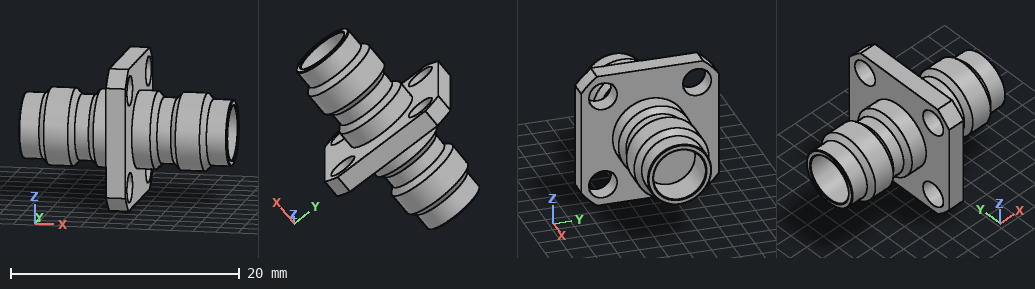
import cadquery as cq

length = 18.5
flange_side = 12.7

flange_start = 8.42
flange_thickness = 1.74
flange_corner_radius = 8.01
mount_hole_diameter = 2.59
mount_hole_spacing = 8.65

neck_radius = 2.92
barrel_radius = 3.45
barrel_chamfer = barrel_radius - neck_radius
end_chamfer = 0.07
nose_length = 1.8
ring_length = 3.18
groove_length = 1.22

bore_radius = 2.4
bore_depth = 3.05
bore_chamfer = 0.07


def barrel_half():
    """Half of the barrel, from its free end at X = 0 to mid-length."""
    ring_end = nose_length + ring_length
    shoulder_start = ring_end + groove_length
    return (
        cq.Workplane("XY")
        .moveTo(0, 0)
        .lineTo(0, neck_radius - end_chamfer)
        .lineTo(end_chamfer, neck_radius)
        .lineTo(nose_length, neck_radius)
        .lineTo(nose_length + barrel_chamfer, barrel_radius)
        .lineTo(ring_end - barrel_chamfer, barrel_radius)
        .lineTo(ring_end, neck_radius)
        .lineTo(shoulder_start, neck_radius)
        .lineTo(shoulder_start + barrel_chamfer, barrel_radius)
        .lineTo(length / 2, barrel_radius)
        .lineTo(length / 2, 0)
        .close()
        .revolve(360, (0, 0, 0), (1, 0, 0))
    )


def bore():
    """Blind bore with a chamfered mouth, opening at X = 0."""
    return (
        cq.Workplane("XY")
        .moveTo(0, 0)
        .lineTo(0, bore_radius + bore_chamfer)
        .lineTo(bore_chamfer, bore_radius)
        .lineTo(bore_depth, bore_radius)
        .lineTo(bore_depth, 0)
        .close()
        .revolve(360, (0, 0, 0), (1, 0, 0))
    )


def flange():
    """Square plate trimmed by a round, with four mounting holes."""
    start_plane = cq.Workplane("YZ").workplane(offset=flange_start)
    plate = start_plane.rect(flange_side, flange_side).extrude(flange_thickness)
    trim = start_plane.circle(flange_corner_radius).extrude(flange_thickness)
    holes = (
        start_plane.rect(mount_hole_spacing, mount_hole_spacing, forConstruction=True)
        .vertices()
        .circle(mount_hole_diameter / 2)
        .extrude(flange_thickness)
    )
    return plate.intersect(trim).cut(holes)


near_half = barrel_half().cut(bore())
far_half = near_half.mirror("YZ", (length / 2, 0, 0))
body = near_half.union(far_half).union(flange())

result = body.translate((-length / 2, 0, 0))